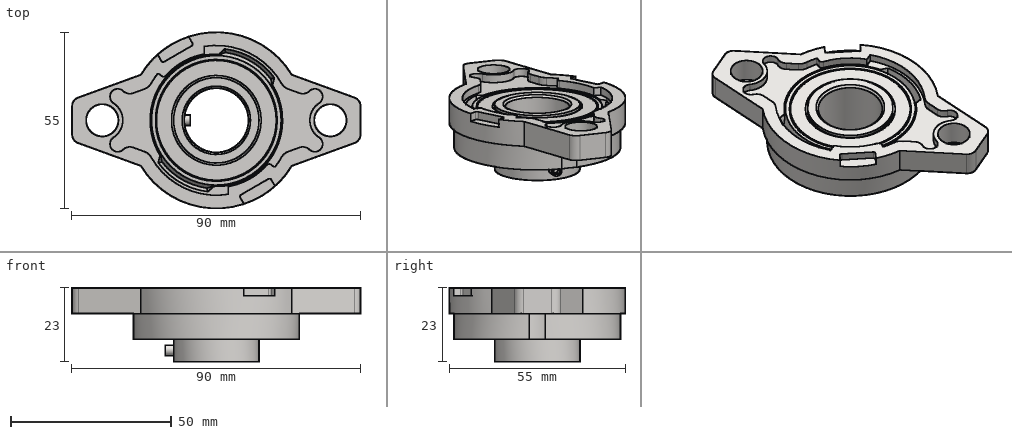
import cadquery as cq
import math


overall_length = 90.0
disc_diameter = 55.0
flange_thickness = 8.0
boss_diameter = 52.0
boss_bottom = -16.0
wing_taper = 20.0
wing_side_distance = 21.4
wing_corner_radius = 3.0
bolt_hole_diameter = 10.0
bolt_offset = 35.55
bolt_head_clearance = 10.0

recess_depth = 2.5
recess_floor = -recess_depth
recess_bore_diameter = 42.0
recess_arc_diameter = 46.7
recess_arc_radius = recess_arc_diameter / 2
recess_slot_end_x = -3.8
recess_tip_angle = -39.0
recess_tip_fillet = 0.4
recess_mouth_fillet = 1.0
recess_side_inset = 4.6
shoulder_radius = 4.0
bulge_radius = 3.0
lobe_radius = 2.4
lobe_offset_y = 7.4
bolt_wall_radius = 6.4

notch_width = 11.2
notch_floor_distance = 23.9
notch_corner_radius = 0.6
notch_angle = 30.0

ball_radius = 21.6
bearing_face_diameter = 40.4
seat_diameter = 41.3
loading_slot_radius = 22.4
loading_slot_depth = 4.95
loading_slot_wall_taper = 14.0
loading_slot_angle = 59.7
loading_slot_half_angle = 23.6
loading_slot_flare = 40.0
loading_slot_end_length = 5.4
seal_line_inner, seal_line_outer = 37.35, 38.0
sleeve_diameter = 26.6
sleeve_gap_diameter = 28.0
sleeve_top = -2.0
sleeve_bottom = -23.0
bore_diameter = 20.0
bore_chamfer = 0.675
groove_depth = 0.45

screw_diameter = 3.3
screw_outer_x = -15.9
screw_inner_x = -8.1
screw_z = -19.5
hex_across_flats = 2.2
hex_depth = 1.6

HALF_TURNS = (0, 180)
side_normal = (math.sin(math.radians(wing_taper)), math.cos(math.radians(wing_taper)))
side_direction = (side_normal[1], -side_normal[0])


def cylinder(diameter, top, bottom):
    return cq.Workplane("XY").workplane(offset=bottom).circle(diameter / 2).extrude(top - bottom)


def ring(inner_diameter, outer_diameter, top, depth):
    return cylinder(outer_diameter, top, top - depth).cut(cylinder(inner_diameter, top, top - depth))


def polar(radius, degrees, center=(0, 0)):
    angle = math.radians(degrees)
    return (center[0] + radius * math.cos(angle), center[1] + radius * math.sin(angle))


def toward(start, target, distance):
    """Point at a distance from start on the line to target."""
    span = math.dist(start, target)
    return tuple(s + (t - s) * distance / span for s, t in zip(start, target))


def beside_wing(distance, run):
    """Point at a distance from the centre square to the +X +Y wing side, and a run along that side."""
    return tuple(n * distance + d * run for n, d in zip(side_normal, side_direction))


def mirrored(point):
    return (point[0], -point[1])


def arc_middle(center, start, end, clockwise):
    """Middle point of the arc that runs round center from start to end."""
    first = math.atan2(start[1] - center[1], start[0] - center[0])
    last = math.atan2(end[1] - center[1], end[0] - center[0])
    sweep = (first - last if clockwise else last - first) % math.tau
    middle = first - sweep / 2 if clockwise else first + sweep / 2
    return polar(math.dist(center, start), math.degrees(middle), center)


def make_housing():
    end_x = overall_length / 2
    end_y = (wing_side_distance - end_x * side_normal[0]) / side_normal[1]
    middle_y = wing_side_distance / side_normal[1]
    upper = [(end_x, end_y), (0, middle_y), (-end_x, end_y)]
    corners = upper + [mirrored(point) for point in reversed(upper)]
    wings = cq.Workplane("XY").polyline(corners).close().extrude(-flange_thickness)
    wings = wings.edges("|Z").edges("<X or >X").fillet(wing_corner_radius)
    housing = wings.union(cylinder(disc_diameter, 0, -flange_thickness))

    boss = cylinder(boss_diameter, -flange_thickness, boss_bottom)
    bolts = cq.Workplane("XY").pushPoints([(-bolt_offset, 0), (bolt_offset, 0)])
    boss = boss.cut(bolts.circle(bolt_head_clearance).extrude(boss_bottom))
    return housing.union(boss).cut(bolts.circle(bolt_hole_diameter / 2).extrude(-flange_thickness))


def make_wing_recess():
    """Recess towards the +X wing, symmetric about the X axis apart from its two ends."""
    bolt = (bolt_offset, 0)
    lobe_reach = bolt_wall_radius + lobe_radius
    lobe = (bolt_offset - math.sqrt(lobe_reach**2 - lobe_offset_y**2), lobe_offset_y)
    side = wing_side_distance - recess_side_inset

    shoulder_side = side + shoulder_radius
    shoulder_reach = recess_arc_radius + shoulder_radius
    shoulder = beside_wing(shoulder_side, math.sqrt(shoulder_reach**2 - shoulder_side**2))

    bulge_side = side + bulge_radius
    lobe_side = lobe[0] * side_normal[0] + lobe[1] * side_normal[1]
    lobe_run = lobe[0] * side_direction[0] + lobe[1] * side_direction[1]
    bulge_run = lobe_run - math.sqrt((lobe_radius + bulge_radius)**2 - (bulge_side - lobe_side)**2)
    bulge = beside_wing(bulge_side, bulge_run)

    def side_foot(center, radius):
        return tuple(c - n * radius for c, n in zip(center, side_normal))

    slot_end = (recess_slot_end_x, math.sqrt(recess_arc_radius**2 - recess_slot_end_x**2))
    shoulder_start = toward((0, 0), shoulder, recess_arc_radius)
    shoulder_end = side_foot(shoulder, shoulder_radius)
    bulge_start = side_foot(bulge, bulge_radius)
    bulge_end = toward(bulge, lobe, bulge_radius)
    lobe_end = toward(lobe, bolt, lobe_radius)
    tip = polar(recess_arc_radius, recess_tip_angle)

    def add_arc(path, center, start, end, clockwise):
        return path.threePointArc(arc_middle(center, start, end, clockwise), end)

    outline = cq.Workplane("XY").lineTo(recess_slot_end_x, 0).lineTo(*slot_end)
    outline = add_arc(outline, (0, 0), slot_end, shoulder_start, True)
    outline = add_arc(outline, shoulder, shoulder_start, shoulder_end, False).lineTo(*bulge_start)
    outline = add_arc(outline, bulge, bulge_start, bulge_end, False)
    outline = add_arc(outline, lobe, bulge_end, lobe_end, True)
    outline = add_arc(outline, bolt, lobe_end, mirrored(lobe_end), False)
    outline = add_arc(outline, mirrored(lobe), mirrored(lobe_end), mirrored(bulge_end), True)
    outline = add_arc(outline, mirrored(bulge), mirrored(bulge_end), mirrored(bulge_start), False)
    outline = outline.lineTo(*mirrored(shoulder_end))
    outline = add_arc(outline, mirrored(shoulder), mirrored(shoulder_end), mirrored(shoulder_start), False)
    outline = add_arc(outline, (0, 0), mirrored(shoulder_start), tip, True)
    return outline.close().extrude(recess_floor)


def make_recess():
    recess = cylinder(recess_bore_diameter, 0, recess_floor)
    for turn in HALF_TURNS:
        recess = recess.union(make_wing_recess().rotate((0, 0, 0), (0, 0, 1), turn))
    tip_corner = (recess_arc_radius, recess_tip_fillet)
    mouth_corner = (recess_bore_diameter / 2, recess_mouth_fillet)
    for radius, fillet in (tip_corner, mouth_corner):
        for turn in HALF_TURNS:
            corner = (*polar(radius, recess_tip_angle + turn), recess_floor / 2)
            recess = recess.edges(cq.selectors.NearestToPointSelector(corner)).fillet(fillet)
    return recess


def make_rim_notches():
    height = disc_diameter / 2
    notch = (
        cq.Workplane("XY")
        .center(0, notch_floor_distance + height / 2)
        .rect(notch_width, height)
        .extrude(-recess_depth)
        .edges("|Z and <Y")
        .fillet(notch_corner_radius)
    )
    notches = cq.Workplane("XY")
    for turn in HALF_TURNS:
        notches = notches.add(notch.rotate((0, 0, 0), (0, 0, 1), notch_angle + turn))
    return notches.combine()


def make_loading_slot():
    """Tapered arc-shaped slot centred on the X axis, its ends flaring out towards the bearing."""
    corner = polar(loading_slot_radius, loading_slot_half_angle)
    end_direction = loading_slot_half_angle + 180 - loading_slot_flare
    inner_corner = polar(loading_slot_end_length, end_direction, corner)
    return (
        cq.Workplane("XY", origin=(0, 0, recess_floor))
        .moveTo(*mirrored(corner))
        .threePointArc((loading_slot_radius, 0), corner)
        .lineTo(*inner_corner)
        .lineTo(*mirrored(inner_corner))
        .close()
        .extrude(-loading_slot_depth, taper=loading_slot_wall_taper)
    )


def make_bearing_clearance():
    """Gap between the spherical bearing and its seat, widened at two loading slots."""
    face_radius = bearing_face_diameter / 2
    ball_z = recess_floor - math.sqrt(ball_radius**2 - face_radius**2)
    ball = cq.Workplane("XY").sphere(ball_radius).translate((0, 0, ball_z))
    clearance = cylinder(seat_diameter, recess_floor, recess_floor - loading_slot_depth)
    slot = make_loading_slot()
    for turn in HALF_TURNS:
        clearance = clearance.union(slot.rotate((0, 0, 0), (0, 0, 1), loading_slot_angle + turn))
    return clearance.cut(ball)


def make_set_screw():
    length = screw_inner_x - screw_outer_x
    face = cq.Workplane("YZ", origin=(screw_outer_x, 0, screw_z))
    socket = face.polygon(6, hex_across_flats / math.cos(math.pi / 6)).extrude(hex_depth)
    return face.circle(screw_diameter / 2).extrude(length).cut(socket)


def make_sleeve():
    blank = cylinder(sleeve_diameter, sleeve_top, sleeve_bottom)
    sleeve = blank.cut(cylinder(bore_diameter, sleeve_top, sleeve_bottom))
    return sleeve.faces(">Z").edges(cq.selectors.RadiusNthSelector(0)).chamfer(bore_chamfer)


body = make_housing().cut(make_recess()).cut(make_rim_notches()).cut(make_bearing_clearance())
body = body.cut(ring(seal_line_inner, seal_line_outer, recess_floor, groove_depth))
body = body.cut(ring(sleeve_diameter, sleeve_gap_diameter, recess_floor, groove_depth))
body = body.cut(cylinder(sleeve_diameter, 0, sleeve_bottom))
result = body.union(make_sleeve()).union(make_set_screw())